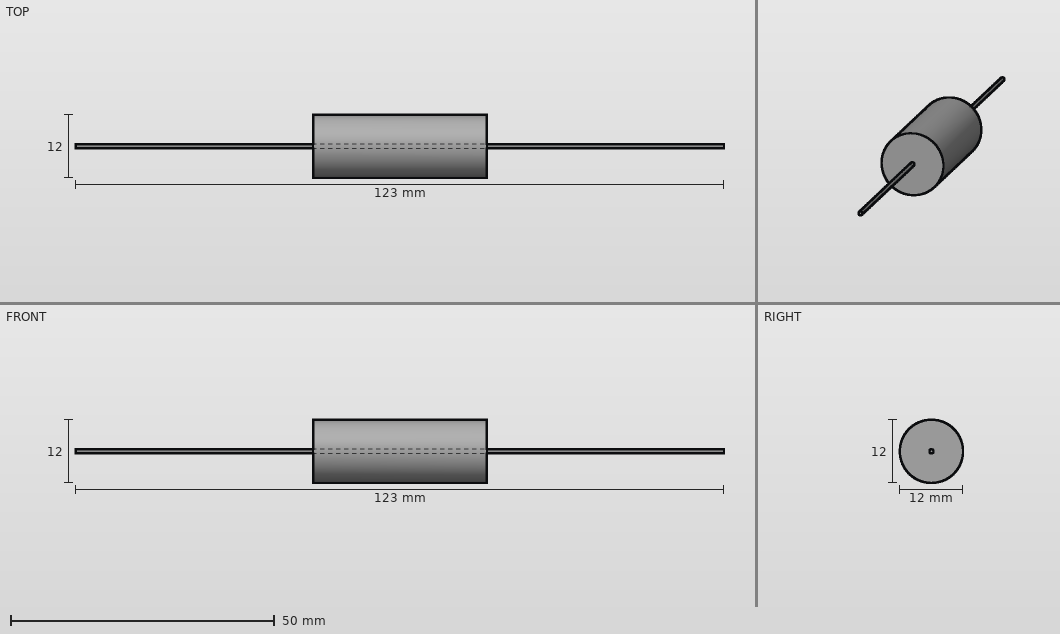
import cadquery as cq

lead_length = 123.0
lead_diameter = 0.8
housing_length = 33.0
housing_diameter = 12.0


def axial_cylinder(diameter, length):
    """Solid cylinder along X, centred on the origin."""
    start_plane = cq.Workplane("YZ", origin=(-length / 2, 0, 0))
    return start_plane.circle(diameter / 2).extrude(length)


def make_lead():
    """Straight round wire that sticks out equally from both ends of the housing."""
    return axial_cylinder(lead_diameter, lead_length)


def make_housing():
    """Plain cylinder with a through bore that fits the lead."""
    bore = axial_cylinder(lead_diameter, housing_length)
    return axial_cylinder(housing_diameter, housing_length).cut(bore)


housing = make_housing()
lead = make_lead()

result = cq.Compound.makeCompound([housing.val(), lead.val()])